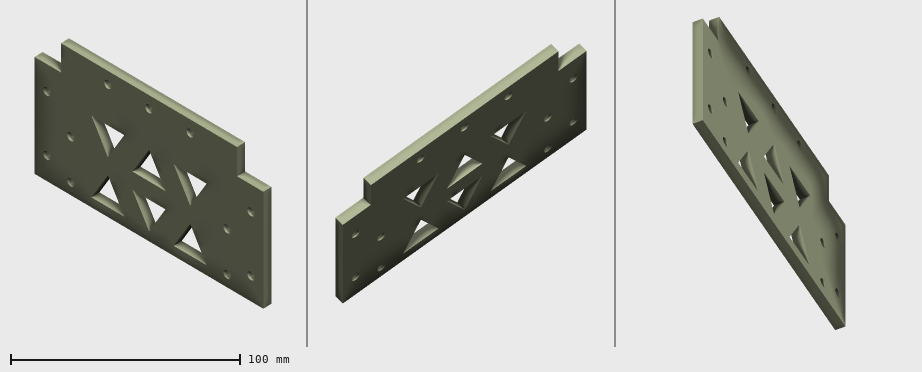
import cadquery as cq
import math

width = 139.0
height = 80.0
thickness = 5.0
notch_width = 16.0
notch_height = 16.0

hole_diameter = 4.5
top_hole_spacing = 25.0
top_hole_edge_distance = 7.5
top_hole_z = height - top_hole_edge_distance
outer_hole_x = 62.0
outer_hole_z_levels = (14.0, 49.0)
inner_hole_x = 47.5
inner_hole_z_levels = (7.0, 32.0)

triangle_side = 20.0
triangle_height = triangle_side * math.sqrt(3) / 2
triangle_spacing = 25.0
lower_row_z = 5.5
row_gap = 10.0
row_pitch = triangle_height + row_gap
columns = (-1, 0, 1)


def make_plate():
    """Rectangular plate with both upper corners notched."""
    half_width = width / 2
    tab_half_width = half_width - notch_width
    shoulder_z = height - notch_height
    outline = [
        (-half_width, 0),
        (half_width, 0),
        (half_width, shoulder_z),
        (tab_half_width, shoulder_z),
        (tab_half_width, height),
        (-tab_half_width, height),
        (-tab_half_width, shoulder_z),
        (-half_width, shoulder_z),
    ]
    return cq.Workplane("XZ").polyline(outline).close().extrude(thickness)


def hole_cutters():
    """Cylinders for the top row and the mirrored side holes."""
    centres = [(column * top_hole_spacing, top_hole_z) for column in columns]
    for side in (-1, 1):
        centres += [(side * outer_hole_x, z) for z in outer_hole_z_levels]
        centres += [(side * inner_hole_x, z) for z in inner_hole_z_levels]
    return cq.Workplane("XZ").pushPoints(centres).circle(hole_diameter / 2).extrude(thickness)


def triangle_cutter(centre_x, bottom_z, points_up):
    """Triangular prism whose lowest edge or tip lies at bottom_z."""
    top_z = bottom_z + triangle_height
    base_z, tip_z = (bottom_z, top_z) if points_up else (top_z, bottom_z)
    corners = [
        (centre_x - triangle_side / 2, base_z),
        (centre_x + triangle_side / 2, base_z),
        (centre_x, tip_z),
    ]
    return cq.Workplane("XZ").polyline(corners).close().extrude(thickness)


result = make_plate().cut(hole_cutters())

for row in (0, 1):
    for column in columns:
        points_up = (row + column) % 2 == 1
        window = triangle_cutter(column * triangle_spacing, lower_row_z + row * row_pitch, points_up)
        result = result.cut(window)